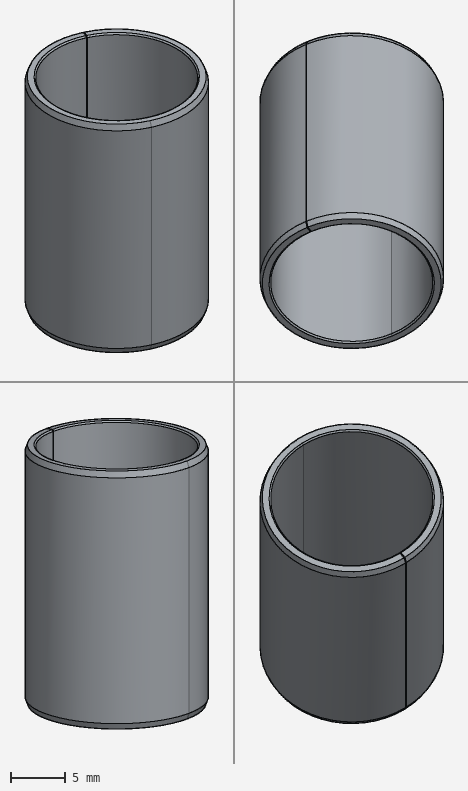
import cadquery as cq

length = 25.0
outer_diameter = 17.0
wall = 1.0
slit_width = 0.1

outer_chamfer_length = 0.6
outer_chamfer_depth = 0.22
inner_chamfer = 0.15

outer_radius = outer_diameter / 2
inner_radius = outer_radius - wall
half_length = length / 2


def make_sleeve():
    """Revolve the wall section, chamfered at all four corners, about Z."""
    section = [
        (inner_radius, inner_chamfer - half_length),
        (inner_radius + inner_chamfer, -half_length),
        (outer_radius - outer_chamfer_depth, -half_length),
        (outer_radius, outer_chamfer_length - half_length),
        (outer_radius, half_length - outer_chamfer_length),
        (outer_radius - outer_chamfer_depth, half_length),
        (inner_radius + inner_chamfer, half_length),
        (inner_radius, half_length - inner_chamfer),
    ]
    profile = cq.Workplane("XZ").polyline(section).close()
    return profile.revolve(360, (0, 0, 0), (0, 1, 0))


def make_slit():
    """Thin full-length block on the -X side, with one face on the XZ plane."""
    block = cq.Workplane("XY").box(outer_radius, slit_width, length)
    return block.translate((-outer_radius / 2 - inner_radius / 2, slit_width / 2, 0))


result = make_sleeve().cut(make_slit())